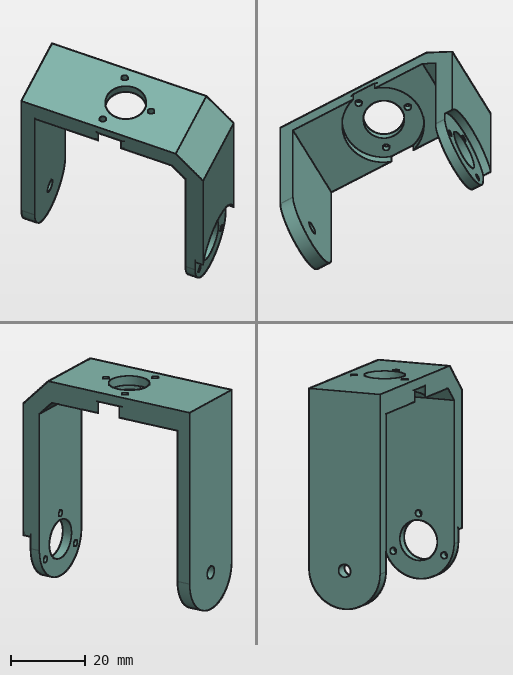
import cadquery as cq

length = 53.0
width = 21.0
height = 59.5

plain_leg = 3.9
motor_leg = 5.2
roof = 5.95
outer_bevel = 8.0
inner_bevel = 4.0

pocket_diameter = 22.0
roof_pocket_x = 25.75
roof_floor = 2.7
leg_floor = 2.85

pivot_diameter = 3.5
boss_diameter = 11.0
screw_diameter = 1.8
roof_hole_x = 26.0
screw_apex = 7.4
screw_base = 3.5
screw_half_spread = 7.5

end_radius = width / 2
pivot_z = end_radius
leg_inner_x = length - motor_leg
ceiling = height - roof


def frame():
    """Bevelled U-shaped frame, extruded across the full width."""
    outline = [
        (0, 0),
        (0, height),
        (length - outer_bevel, height),
        (length, height - outer_bevel),
        (length, 0),
        (leg_inner_x, 0),
        (leg_inner_x, ceiling - inner_bevel),
        (leg_inner_x - inner_bevel, ceiling),
        (plain_leg, ceiling),
        (plain_leg, 0),
    ]
    return cq.Workplane("XZ").polyline(outline).close().extrude(end_radius, both=True)


def rounded_envelope():
    """Block with a half-round lower end that rounds off both legs."""
    return (
        cq.Workplane("YZ")
        .moveTo(-end_radius, pivot_z)
        .threePointArc((0, 0), (end_radius, pivot_z))
        .lineTo(end_radius, height)
        .lineTo(-end_radius, height)
        .close()
        .extrude(length)
    )


def mount_holes(plane, depth):
    """Cutter for a boss hole and three screw holes, the apex screw along local X."""
    screws = [
        (screw_apex, 0),
        (-screw_base, screw_half_spread),
        (-screw_base, -screw_half_spread),
    ]
    boss = cq.Workplane(plane).circle(boss_diameter / 2).extrude(depth)
    screw_set = cq.Workplane(plane).pushPoints(screws).circle(screw_diameter / 2).extrude(depth)
    return boss.union(screw_set)


def motor_pocket(plane, depth):
    """Round cutter for the seat of a motor body."""
    return cq.Workplane(plane).circle(pocket_diameter / 2).extrude(depth)


roof_plane = cq.Plane(origin=(roof_hole_x, 0, ceiling), xDir=(1, 0, 0), normal=(0, 0, 1))
leg_plane = cq.Plane(origin=(leg_inner_x, 0, pivot_z), xDir=(0, 0, 1), normal=(1, 0, 0))
roof_pocket_plane = cq.Plane(origin=(roof_pocket_x, 0, ceiling), xDir=(1, 0, 0), normal=(0, 0, 1))
leg_pocket_plane = cq.Plane(
    origin=(leg_inner_x + leg_floor, 0, pivot_z), xDir=(0, 0, 1), normal=(1, 0, 0)
)
pivot = cq.Workplane("YZ").center(0, pivot_z).circle(pivot_diameter / 2).extrude(plain_leg)

result = (
    frame()
    .intersect(rounded_envelope())
    .cut(mount_holes(roof_plane, roof))
    .cut(mount_holes(leg_plane, motor_leg))
    .cut(motor_pocket(roof_pocket_plane, roof - roof_floor))
    .cut(motor_pocket(leg_pocket_plane, motor_leg - leg_floor))
    .cut(pivot)
)